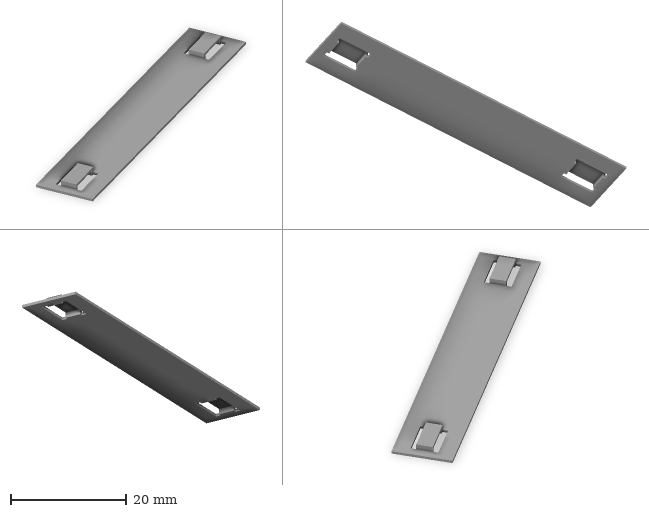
import cadquery as cq

length = 60.0
width = 11.0
thickness = 0.5

total_height = 1.5
strap_width = 3.0
strap_thickness = 0.5
window_width = 5.0
window_length = 6.65
end_margin = 1.7
window_center = length / 2 - end_margin - window_length / 2


def block(size_x, size_y, bottom, top, center_y):
    """Box centred on X = 0 and spanning bottom to top in Z."""
    return (
        cq.Workplane("XY", origin=(0, center_y, bottom))
        .rect(size_x, size_y)
        .extrude(top - bottom)
    )


def strap(center_y):
    """Bridge along the window, with a leg standing at each end down to the plate underside."""
    bridge = block(strap_width, window_length, 0, total_height, center_y)
    opening_length = window_length - 2 * strap_thickness
    opening = block(strap_width, opening_length, 0, total_height - strap_thickness, center_y)
    return bridge.cut(opening)


result = block(width, length, 0, thickness, 0)
for center_y in (-window_center, window_center):
    result = result.cut(block(window_width, window_length, 0, thickness, center_y))
    result = result.union(strap(center_y))